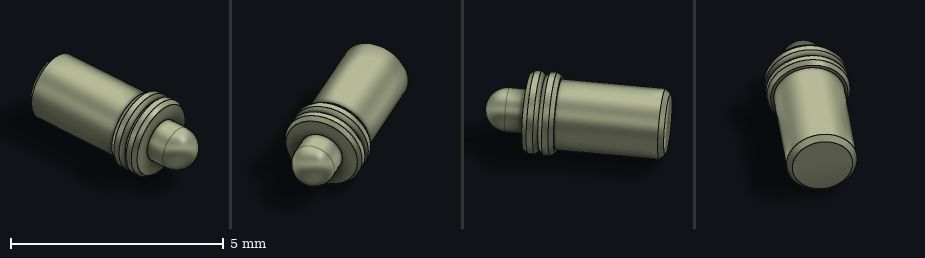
import cadquery as cq
import math

total_length = 4.34
barrel_radius = 0.84
collar_radius = 0.99
plunger_radius = 0.53

barrel_chamfer = 0.125
barrel_end = 2.595

collar_end = 3.35
outer_bevel_length = 0.117
outer_bevel_depth = 0.075
groove_center = (barrel_end + collar_end) / 2
groove_half_width = 0.105
groove_depth = 0.105

dome_start = total_length - plunger_radius
dome_mid_offset = plunger_radius * math.sqrt(0.5)

collar_edge_radius = collar_radius - outer_bevel_depth

profile = (
    cq.Workplane("XY")
    .moveTo(0, 0)
    .lineTo(0, barrel_radius - barrel_chamfer)
    .lineTo(barrel_chamfer, barrel_radius)
    .lineTo(barrel_end, barrel_radius)
    .lineTo(barrel_end, collar_edge_radius)
    .lineTo(barrel_end + outer_bevel_length, collar_radius)
    .lineTo(groove_center - groove_half_width, collar_radius)
    .lineTo(groove_center, collar_radius - groove_depth)
    .lineTo(groove_center + groove_half_width, collar_radius)
    .lineTo(collar_end - outer_bevel_length, collar_radius)
    .lineTo(collar_end, collar_edge_radius)
    .lineTo(collar_end, plunger_radius)
    .lineTo(dome_start, plunger_radius)
    .threePointArc((dome_start + dome_mid_offset, dome_mid_offset), (total_length, 0))
    .close()
)

result = profile.revolve(360, (0, 0, 0), (1, 0, 0))